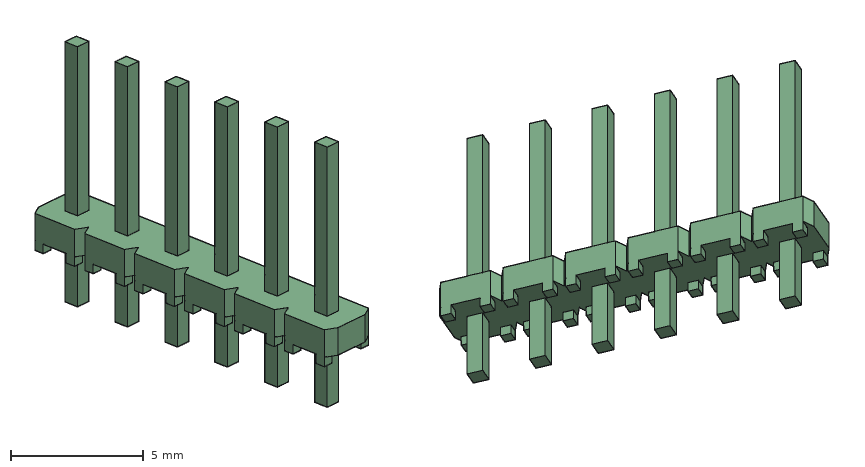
import cadquery as cq

pin_count = 6
body_length = 15.24
body_width = 2.48
body_height = 1.16
total_height = 10.93
pin_side = 0.64
pin_tail_length = 2.67
notch_half_width = 0.26
notch_depth = 0.49
foot_length = 0.43
foot_width = 0.44
foot_height = 0.4

pitch = body_length / pin_count
half_pitch = pitch / 2
half_width = body_width / 2
flat_half_length = half_pitch - notch_half_width
waist_half_width = half_width - notch_depth
foot_center_x = flat_half_length - foot_length / 2
foot_center_y = half_width - foot_width / 2

pin_positions = [(i - (pin_count - 1) / 2) * pitch for i in range(pin_count)]


def body_cell():
    """Octagonal block around one pin; neighbouring blocks leave V notches between them."""
    outline = [
        (-half_pitch, -waist_half_width),
        (-flat_half_length, -half_width),
        (flat_half_length, -half_width),
        (half_pitch, -waist_half_width),
        (half_pitch, waist_half_width),
        (flat_half_length, half_width),
        (-flat_half_length, half_width),
        (-half_pitch, waist_half_width),
    ]
    return cq.Workplane("XY").polyline(outline).close().extrude(body_height)


def feet():
    """Four standoff feet under the corners of one cell."""
    return (
        cq.Workplane("XY")
        .rect(2 * foot_center_x, 2 * foot_center_y, forConstruction=True)
        .vertices()
        .rect(foot_length, foot_width)
        .extrude(-foot_height)
    )


def pin():
    """Square pin running through the body."""
    return (
        cq.Workplane("XY")
        .workplane(offset=-pin_tail_length)
        .rect(pin_side, pin_side)
        .extrude(total_height)
    )


cell = body_cell().union(feet()).union(pin())

result = cell.translate((pin_positions[0], 0, 0))
for x in pin_positions[1:]:
    result = result.union(cell.translate((x, 0, 0)))
result = result.clean()